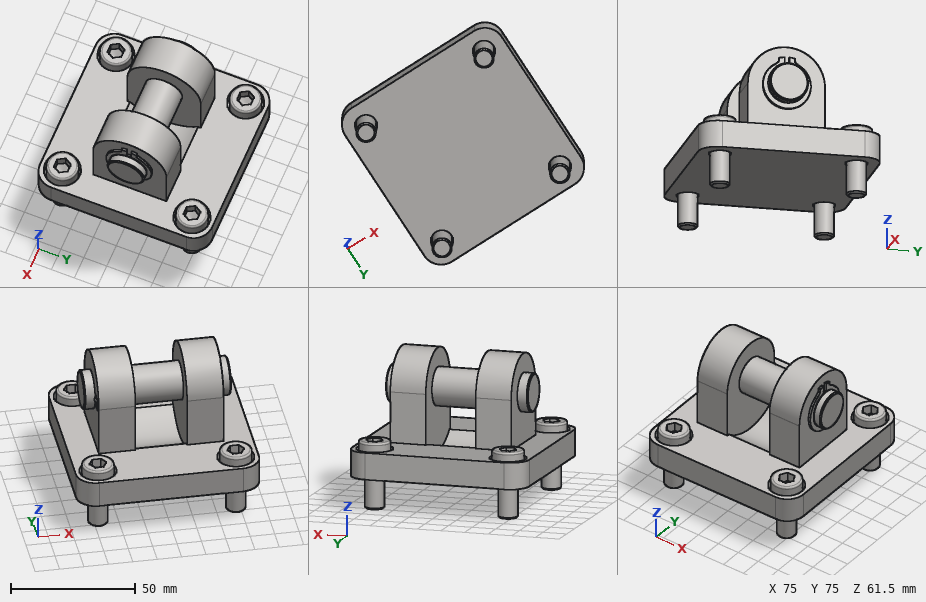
import cadquery as cq
import math

plate_size = 75
plate_thickness = 11.0
plate_corner_radius = 8.0

lug_top = 48
lug_radius = 16.0
lug_thickness = 15
lug_outer_x = 25.6
lug_inner_x = lug_outer_x - lug_thickness
axis_z = lug_top - lug_radius

trough_radius = 22.5
trough_half_width = 14.85
trough_axis_z = plate_thickness + math.sqrt(trough_radius**2 - trough_half_width**2)

pin_radius = 16.0 / 2
pin_left_x = -30
pin_right_x = 30.2
pin_chamfer = 0.5

ring_thickness = 1.0
ring_groove_width = 1.1
ring_groove_radius = 15.2 / 2
ring_radius = 9.9
ring_drop = 0.34
ring_gap = 1.95
ear_top = 11.5
ear_half_width = 3.3
ear_shoulder = 9.6
ear_foot_half_width = 4.65

cross_pin_radius = 4.0 / 2
cross_pin_bore_radius = 2.0 / 2
cross_pin_inset = 1.65
cross_pin_reach = 12.15
cross_pin_chamfer_length = 0.9
cross_pin_chamfer_depth = 0.15
slot_width = 4.5
slot_depth = 3.75
slot_reach = 14.8

screw_spacing = 56.5
screw_bottom_z = -13.5
screw_length = 20.0
shank_diameter = 8.0
shank_chamfer = 0.7
head_diameter = 13.0
head_height = 8.0
head_fillet = 0.8
socket_width = 6
socket_depth = 4.0
socket_point_angle = 120
counterbore_diameter = 15
clearance_diameter = 9
seat_z = screw_bottom_z + screw_length


def x_cylinder(radius, x_start, x_end, z):
    """Cylinder along X between two X positions, at Y = 0."""
    return cq.Workplane("YZ", origin=(x_start, 0, z)).circle(radius).extrude(x_end - x_start)


def at_screws(workplane):
    """Select the four screw positions on a workplane."""
    return workplane.rect(screw_spacing, screw_spacing, forConstruction=True).vertices()


def make_plate():
    plate = (
        cq.Workplane("XY")
        .rect(plate_size, plate_size)
        .extrude(plate_thickness)
        .edges("|Z")
        .fillet(plate_corner_radius)
    )
    bores = at_screws(cq.Workplane("XY", origin=(0, 0, seat_z)))
    bores = bores.circle(counterbore_diameter / 2).extrude(plate_thickness - seat_z)
    holes = at_screws(cq.Workplane("XY")).circle(clearance_diameter / 2).extrude(seat_z)
    trough = x_cylinder(trough_radius, -lug_inner_x, lug_inner_x, trough_axis_z)
    return plate.cut(bores).cut(holes).cut(trough)


def make_lug(x_start):
    return (
        cq.Workplane("YZ", origin=(x_start, 0, 0))
        .moveTo(-lug_radius, plate_thickness)
        .lineTo(-lug_radius, axis_z)
        .threePointArc((0, lug_top), (lug_radius, axis_z))
        .lineTo(lug_radius, plate_thickness)
        .close()
        .extrude(lug_thickness)
    )


def make_slot():
    """Round-ended slot running from the hinge axis toward -Y."""
    end_radius = slot_width / 2
    end_centre_y = end_radius - slot_reach
    return (
        cq.Workplane("YZ", origin=(-lug_outer_x, 0, axis_z))
        .moveTo(0, -end_radius)
        .lineTo(end_centre_y, -end_radius)
        .threePointArc((-slot_reach, 0), (end_centre_y, end_radius))
        .lineTo(0, end_radius)
        .close()
        .extrude(slot_depth)
    )


def make_hinge_pin():
    pin = x_cylinder(pin_radius, pin_left_x, pin_right_x, axis_z)
    pin = pin.faces("<X or >X").chamfer(pin_chamfer)
    groove_end_x = lug_outer_x + ring_groove_width
    groove = x_cylinder(pin_radius, lug_outer_x, groove_end_x, axis_z)
    groove = groove.cut(x_cylinder(ring_groove_radius, lug_outer_x, groove_end_x, axis_z))
    return pin.cut(groove)


def make_cross_pin():
    """Pin along -Y; its bore is open only where it stands clear of the hinge pin."""
    cross_pin_plane = cq.Workplane("XZ", origin=(cross_pin_inset - lug_outer_x, 0, axis_z))
    rod = (
        cross_pin_plane.circle(cross_pin_radius)
        .extrude(cross_pin_reach)
        .faces("<Y")
        .chamfer(cross_pin_chamfer_length, cross_pin_chamfer_depth)
    )
    bore = cross_pin_plane.circle(cross_pin_bore_radius).extrude(cross_pin_reach)
    return rod.cut(bore)


def make_retaining_ring():
    """Open ring, thicker at the bottom, with two ears beside the gap at the top."""
    ring_plane = cq.Workplane("YZ", origin=(lug_outer_x, 0, axis_z))
    band = ring_plane.center(0, -ring_drop).circle(ring_radius).extrude(ring_thickness)
    ear_foot_z = math.sqrt(ring_radius**2 - ear_foot_half_width**2) - ring_drop
    ear_corner_z = math.sqrt(ear_top**2 - ear_half_width**2)
    ears = (
        ring_plane.lineTo(-ear_foot_half_width, ear_foot_z)
        .lineTo(-ear_half_width, ear_shoulder)
        .lineTo(-ear_half_width, ear_corner_z)
        .threePointArc((0, ear_top), (ear_half_width, ear_corner_z))
        .lineTo(ear_half_width, ear_shoulder)
        .lineTo(ear_foot_half_width, ear_foot_z)
        .close()
        .extrude(ring_thickness)
    )
    gap = ring_plane.center(0, ear_top / 2).rect(ring_gap, ear_top).extrude(ring_thickness)
    return band.union(ears).cut(gap)


def make_socket():
    """Hexagonal recess with a conical bottom, opening upward at Z = 0."""
    across_corners = socket_width / math.cos(math.radians(30))
    corner_radius = across_corners / 2
    point_depth = socket_depth + corner_radius / math.tan(math.radians(socket_point_angle / 2))
    hexagon = cq.Workplane("XY").polygon(6, across_corners).extrude(-point_depth)
    pointed_bore = (
        cq.Workplane("XZ")
        .lineTo(corner_radius, 0)
        .lineTo(corner_radius, -socket_depth)
        .lineTo(0, -point_depth)
        .close()
        .revolve(360, (0, 0), (0, 1))
    )
    return hexagon.intersect(pointed_bore)


def make_screw():
    """Screw on the Z axis, with the underside of its head on the counterbore seat."""
    shank = (
        cq.Workplane("XY", origin=(0, 0, screw_bottom_z))
        .circle(shank_diameter / 2)
        .extrude(screw_length)
        .faces("<Z")
        .chamfer(shank_chamfer)
    )
    head = (
        cq.Workplane("XY", origin=(0, 0, seat_z))
        .circle(head_diameter / 2)
        .extrude(head_height)
        .faces(">Z")
        .edges()
        .fillet(head_fillet)
    )
    socket = make_socket().translate((0, 0, seat_z + head_height))
    return shank.union(head).cut(socket)


result = make_plate().union(make_lug(-lug_outer_x)).union(make_lug(lug_inner_x))
result = result.cut(make_slot())
result = result.union(make_hinge_pin()).union(make_cross_pin()).union(make_retaining_ring())

screw = make_screw()
for x_side in (-1, 1):
    for y_side in (-1, 1):
        position = (x_side * screw_spacing / 2, y_side * screw_spacing / 2, 0)
        result = result.union(screw.translate(position))